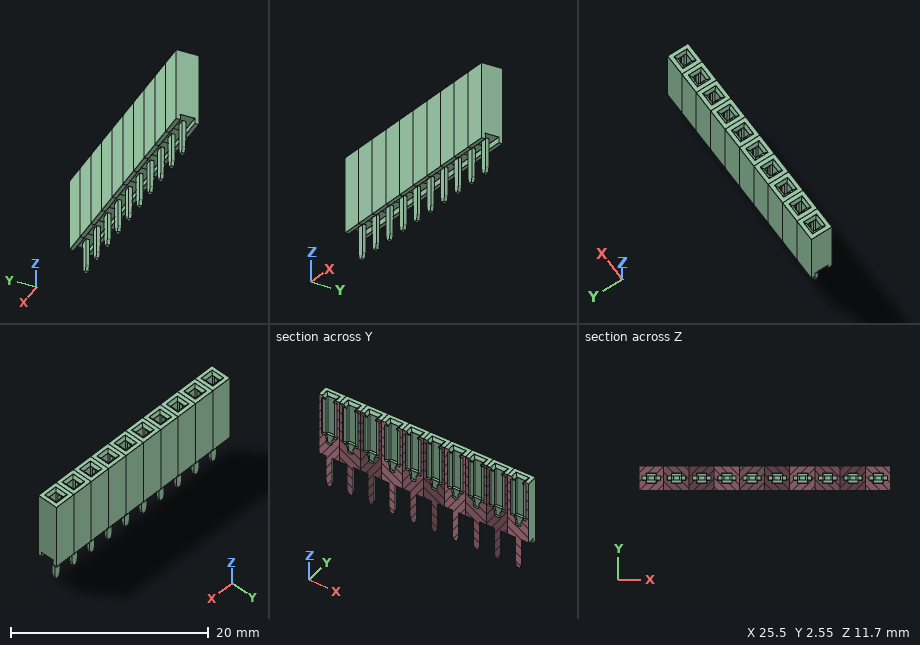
import cadquery as cq

CELL_COUNT = 10
PITCH = 2.55
BODY_HEIGHT = 8.5

CHANNEL_WIDTH = 1.6
CHANNEL_HEIGHT = 0.64

MOUTH_WIDTH = 1.6
SOCKET_WIDTH = 1.0
FUNNEL_DEPTH = 0.3
SOCKET_DEPTH = 5.08

CONTACT_THICKNESS = 0.4
SLOT_WIDTH = 1.83
SLOT_TOP_DEPTH = 0.4

GAP_WIDTH = 0.64
LEAD_IN_DEPTH = 0.45
GAP_STRAIGHT_DEPTH = 0.5
GAP_ROUND_DEPTH = 0.13

PIN_WIDTH = 0.8
PIN_LENGTH = 3.2
TIP_WIDTH = 0.48
TIP_LENGTH = 0.6

SOCKET_FLOOR = BODY_HEIGHT - SOCKET_DEPTH


def contact_sheet(outline):
    """Give an XZ outline the contact thickness, centred on Y = 0."""
    return outline.close().extrude(CONTACT_THICKNESS / 2, both=True)


def body_block():
    """Block of one cell, standing on Z = 0, with the channel along its underside."""
    block = cq.Workplane("XY").box(PITCH, PITCH, BODY_HEIGHT, centered=(True, True, False))
    channel = cq.Workplane("XY").box(PITCH, CHANNEL_WIDTH, CHANNEL_HEIGHT, centered=(True, True, False))
    return block.cut(channel)


def socket():
    """Square socket with a funnel mouth and a contact slot across it."""
    funnel = (
        cq.Workplane("XY", origin=(0, 0, BODY_HEIGHT))
        .rect(MOUTH_WIDTH, MOUTH_WIDTH)
        .workplane(offset=-FUNNEL_DEPTH)
        .rect(SOCKET_WIDTH, SOCKET_WIDTH)
        .loft(ruled=True)
    )
    hole = cq.Workplane("XY", origin=(0, 0, SOCKET_FLOOR)).box(
        SOCKET_WIDTH, SOCKET_WIDTH, SOCKET_DEPTH - FUNNEL_DEPTH, centered=(True, True, False)
    )
    slot = cq.Workplane("XY", origin=(0, 0, SOCKET_FLOOR)).box(
        SLOT_WIDTH, CONTACT_THICKNESS, SOCKET_DEPTH - SLOT_TOP_DEPTH, centered=(True, True, False)
    )
    return funnel.union(hole).union(slot)


def contact_gap():
    """Tapered lead-in, straight sides and a rounded bottom between the arms."""
    throat = SOCKET_FLOOR - LEAD_IN_DEPTH
    round_start = throat - GAP_STRAIGHT_DEPTH
    return contact_sheet(
        cq.Workplane("XZ")
        .moveTo(-SOCKET_WIDTH / 2, SOCKET_FLOOR)
        .lineTo(-GAP_WIDTH / 2, throat)
        .lineTo(-GAP_WIDTH / 2, round_start)
        .threePointArc((0, round_start - GAP_ROUND_DEPTH), (GAP_WIDTH / 2, round_start))
        .lineTo(GAP_WIDTH / 2, throat)
        .lineTo(SOCKET_WIDTH / 2, SOCKET_FLOOR)
    )


def pin():
    """Flat solder pin with a tip tapered in width."""
    tip_start = TIP_LENGTH - PIN_LENGTH
    return contact_sheet(
        cq.Workplane("XZ")
        .moveTo(-PIN_WIDTH / 2, CHANNEL_HEIGHT)
        .lineTo(-PIN_WIDTH / 2, tip_start)
        .lineTo(-TIP_WIDTH / 2, -PIN_LENGTH)
        .lineTo(TIP_WIDTH / 2, -PIN_LENGTH)
        .lineTo(PIN_WIDTH / 2, tip_start)
        .lineTo(PIN_WIDTH / 2, CHANNEL_HEIGHT)
    )


def cell():
    """One complete cell, centred on X = 0 and Y = 0."""
    return body_block().cut(socket()).cut(contact_gap()).union(pin())


first_cell = cell().solids().val()
first_cell_x = -(CELL_COUNT - 1) * PITCH / 2
cells = [first_cell.translate(cq.Vector(first_cell_x + i * PITCH, 0, 0)) for i in range(CELL_COUNT)]

result = cq.Compound.makeCompound(cells)